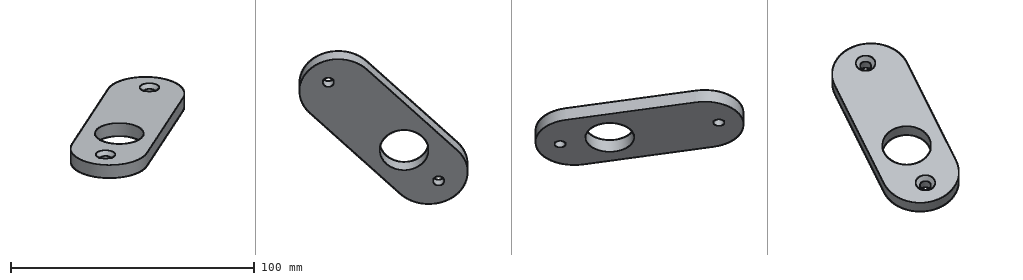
import cadquery as cq

plate_length = 87.0
plate_width = 32.0
plate_thickness = 6.0

bore_diameter = 20.0
bore_y = -12.5

screw_spacing = 67.0
screw_diameter = 4.5
countersink_diameter = 8.0
countersink_angle = 90.0


def make_plate():
    return cq.Workplane("XY").slot2D(plate_length, plate_width, angle=90).extrude(plate_thickness)


def cut_bore(body):
    top = body.faces(">Z").workplane(origin=(0, 0, plate_thickness))
    return top.center(0, bore_y).hole(bore_diameter)


def cut_screw_holes(body):
    top = body.faces(">Z").workplane(origin=(0, 0, plate_thickness))
    screws = top.pushPoints([(0, side * screw_spacing / 2) for side in (-1, 1)])
    return screws.cskHole(screw_diameter, countersink_diameter, countersink_angle)


result = cut_screw_holes(cut_bore(make_plate()))